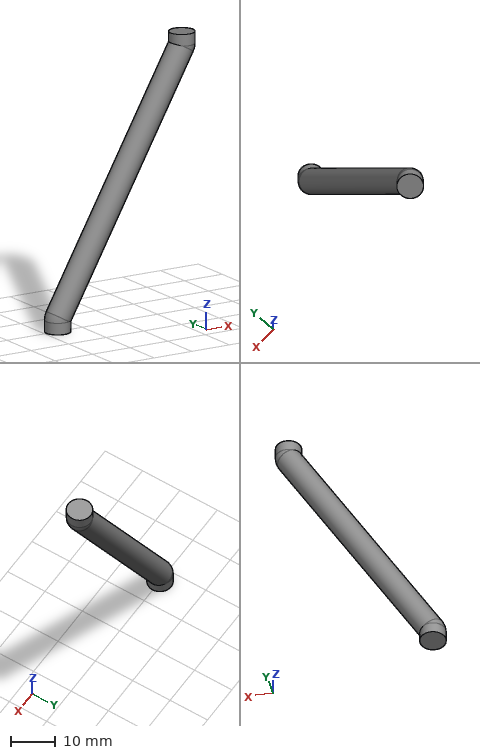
import cadquery as cq
import math

rod_diameter = 6.0
overall_length = 39.0
overall_height = 65.0
end_height = 2.7
bend_radius = 1.3

rod_radius = rod_diameter / 2
end_offset = overall_length - rod_diameter
pivot_run = end_offset - 2 * bend_radius
pivot_rise = overall_height - 2 * end_height
pivot_distance = math.hypot(pivot_run, pivot_rise)
shaft_length = math.sqrt(pivot_distance**2 - (2 * bend_radius) ** 2)
lean = math.atan2(pivot_run, pivot_rise) + math.asin(2 * bend_radius / pivot_distance)


def make_end_with_bend():
    """Vertical stub rising from the origin, followed by a bend towards +X."""
    stub = cq.Workplane("XY").circle(rod_radius).extrude(end_height)
    half_chord = math.sqrt(rod_radius**2 - bend_radius**2)
    bend = (
        cq.Workplane("XY", origin=(0, 0, end_height))
        .moveTo(bend_radius, -half_chord)
        .threePointArc((-rod_radius, 0), (bend_radius, half_chord))
        .close()
        .revolve(math.degrees(lean), (bend_radius, -0.65), (bend_radius, 0.65))
    )
    return stub.union(bend)


def make_shaft():
    """Leaning straight rod between the two bends."""
    start = (
        bend_radius * (1 - math.cos(lean)),
        0,
        end_height + bend_radius * math.sin(lean),
    )
    direction = (math.sin(lean), 0, math.cos(lean))
    plane = cq.Plane(origin=start, xDir=(0, 1, 0), normal=direction)
    return cq.Workplane(plane).circle(rod_radius).extrude(shaft_length)


lower_end = make_end_with_bend()
upper_end = lower_end.rotate((0, 0, 0), (0, 1, 0), 180).translate((end_offset, 0, overall_height))

result = make_shaft().union(lower_end).union(upper_end)